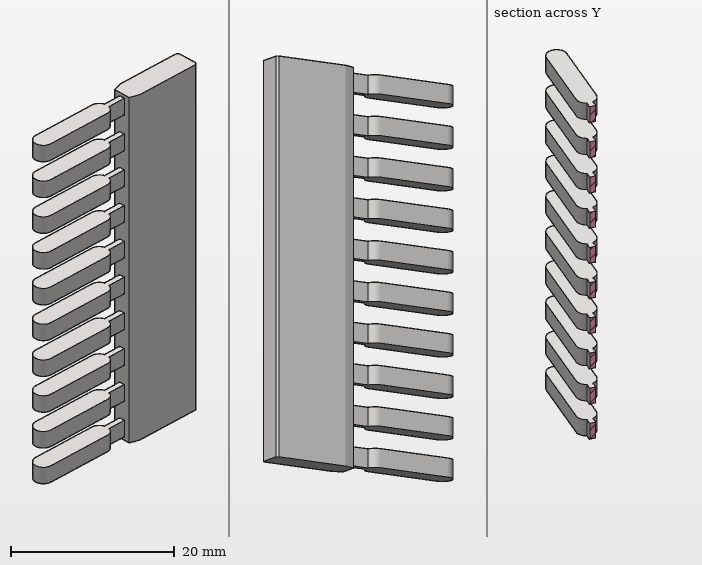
import cadquery as cq
import math

strip_length = 50.2
total_depth = 26.15

spine_thickness = 3.4
spine_depth = 11.3
front_face_width = 2.5
front_taper_depth = 1.4
rear_chamfer = 0.25

prong_count = 10
prong_height = 2.4
end_margin = 0.5
blade_width = 2.65
neck_width = 0.8
neck_length = 2.6

blade_radius = blade_width / 2
prong_pitch = (strip_length - 2 * end_margin - prong_height) / (prong_count - 1)

rear_y = total_depth / 2
spine_front_y = rear_y - spine_depth
neck_end_y = spine_front_y - neck_length
tip_y = -total_depth / 2


def make_spine():
    """Full-length bar, chamfered at the rear and tapered toward the prongs."""
    half = spine_thickness / 2
    half_front = front_face_width / 2
    taper_start_y = spine_front_y + front_taper_depth
    return (
        cq.Workplane("XY", origin=(0, 0, -strip_length / 2))
        .moveTo(half - rear_chamfer, rear_y)
        .lineTo(half, rear_y - rear_chamfer)
        .lineTo(half, taper_start_y)
        .lineTo(half_front, spine_front_y)
        .lineTo(-half_front, spine_front_y)
        .lineTo(-half, taper_start_y)
        .lineTo(-half, rear_y - rear_chamfer)
        .lineTo(-half + rear_chamfer, rear_y)
        .close()
        .extrude(strip_length)
    )


def make_prong(bottom_z):
    """Neck plus a blade whose two ends are arcs as wide as the blade."""
    half_neck = neck_width / 2
    shoulder_y = neck_end_y - math.sqrt(blade_radius**2 - half_neck**2)
    tip_centre_y = tip_y + blade_radius
    mid_angle = math.acos(half_neck / blade_radius) / 2
    mid_x = blade_radius * math.cos(mid_angle)
    mid_y = shoulder_y + blade_radius * math.sin(mid_angle)
    return (
        cq.Workplane("XY", origin=(0, 0, bottom_z))
        .moveTo(half_neck, spine_front_y)
        .lineTo(half_neck, neck_end_y)
        .threePointArc((mid_x, mid_y), (blade_radius, shoulder_y))
        .lineTo(blade_radius, tip_centre_y)
        .threePointArc((0, tip_y), (-blade_radius, tip_centre_y))
        .lineTo(-blade_radius, shoulder_y)
        .threePointArc((-mid_x, mid_y), (-half_neck, neck_end_y))
        .lineTo(-half_neck, spine_front_y)
        .close()
        .extrude(prong_height)
    )


result = make_spine()
first_prong_z = -strip_length / 2 + end_margin
for index in range(prong_count):
    result = result.union(make_prong(first_prong_z + index * prong_pitch))